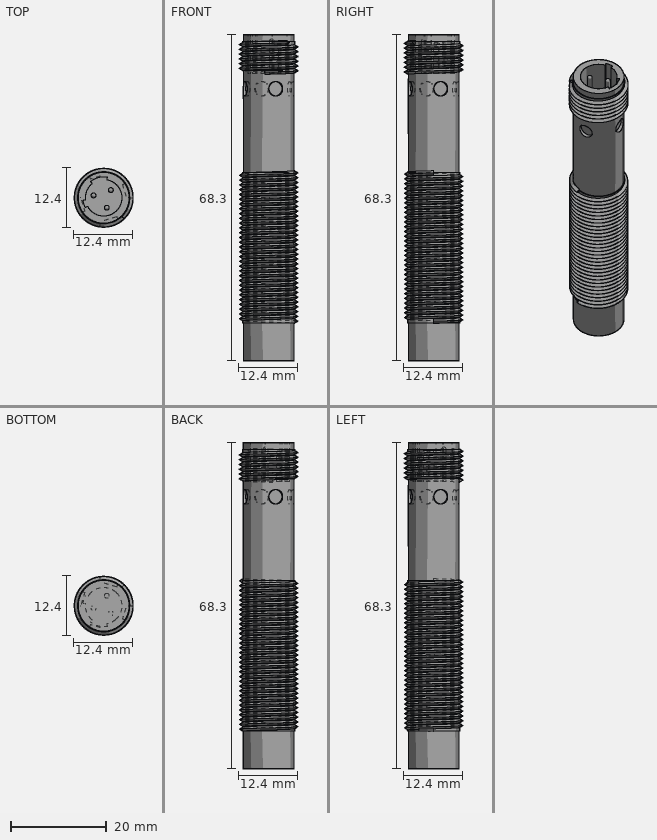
import cadquery as cq
import math

length = 68.3
body_radius = 5.3

main_ridge_length = 31.0
main_turns = 31
pitch = main_ridge_length / main_turns
ridge_embed = 0.1
ridge_half_base = 0.5

main_core_radius = 5.45
main_crest_radius = 12.2 / 2
main_core_bottom = 7.9
main_core_top = 39.4
main_ridge_start = 8.3
main_start_angle = 0.0

plug_core_radius = 5.45
plug_crest_radius = 12.35 / 2
plug_core_bottom = 60.8
plug_core_top = 66.85
plug_ridge_start = 60.45
plug_ridge_length = 6.15
plug_turns = plug_ridge_length / pitch
plug_start_angle = -98.0

window_count = 4
window_radius = 1.5
window_height = 56.95
window_first_angle = 17.0
window_floor_distance = 4.6

socket_radius = 3.8
socket_depth = 8.2
keyway_radius = 4.4
keyways = [(80.0, 129.0), (187.0, 208.0)]

pin_radius = 0.51
pin_circle_radius = 2.2
pin_first_angle = 47.0
pin_tip_recesses = [1.8, 1.8, 0.95]
pin_tip_rounding = 0.4

socket_floor = length - socket_depth


def cylinder(radius, bottom, top):
    return cq.Workplane("XY").workplane(offset=bottom).circle(radius).extrude(top - bottom)


def polar(radius, angle):
    turn = math.radians(angle)
    return (radius * math.cos(turn), radius * math.sin(turn))


def thread_ridge(core_radius, crest_radius, start_height, turns, start_angle):
    """Right-handed ridge whose crest begins at the start height and angle."""
    foot_radius = core_radius - ridge_embed
    path = cq.Wire.makeHelix(pitch, pitch * turns, foot_radius)
    profile = cq.Workplane("XZ").polyline([
        (foot_radius, -ridge_half_base),
        (crest_radius, 0),
        (foot_radius, ridge_half_base),
    ]).close()
    ridge = profile.sweep(cq.Workplane(path), isFrenet=True)
    return ridge.rotate((0, 0, 0), (0, 0, 1), start_angle).translate((0, 0, start_height))


def indicator_window(angle):
    """Shallow flat-bottomed round recess cut radially into the barrel."""
    return (
        cq.Workplane("YZ")
        .workplane(offset=window_floor_distance)
        .center(0, window_height)
        .circle(window_radius)
        .extrude(body_radius)
        .rotate((0, 0, 0), (0, 0, 1), angle)
    )


def keyway(start_angle, end_angle):
    """Sector reaching from the axis to the keyway radius."""
    return (
        cq.Workplane("XY")
        .workplane(offset=socket_floor)
        .lineTo(*polar(keyway_radius, start_angle))
        .threePointArc(
            polar(keyway_radius, (start_angle + end_angle) / 2),
            polar(keyway_radius, end_angle),
        )
        .close()
        .extrude(socket_depth)
    )


def contact_pin(angle, tip_recess):
    x, y = polar(pin_circle_radius, angle)
    pin = cylinder(pin_radius, socket_floor - pin_radius, length - tip_recess)
    return pin.faces(">Z").fillet(pin_tip_rounding).translate((x, y, 0))


part = cylinder(body_radius, 0, length)
part = part.union(cylinder(main_core_radius, main_core_bottom, main_core_top))
part = part.union(cylinder(plug_core_radius, plug_core_bottom, plug_core_top))

part = part.union(thread_ridge(
    main_core_radius, main_crest_radius, main_ridge_start, main_turns, main_start_angle))
part = part.union(thread_ridge(
    plug_core_radius, plug_crest_radius, plug_ridge_start, plug_turns, plug_start_angle))

for i in range(window_count):
    part = part.cut(indicator_window(window_first_angle + i * 360 / window_count))

part = part.cut(cylinder(socket_radius, socket_floor, length))
for start_angle, end_angle in keyways:
    part = part.cut(keyway(start_angle, end_angle))
for i, tip_recess in enumerate(pin_tip_recesses):
    pin_angle = pin_first_angle + i * 360 / len(pin_tip_recesses)
    part = part.union(contact_pin(pin_angle, tip_recess))

result = part